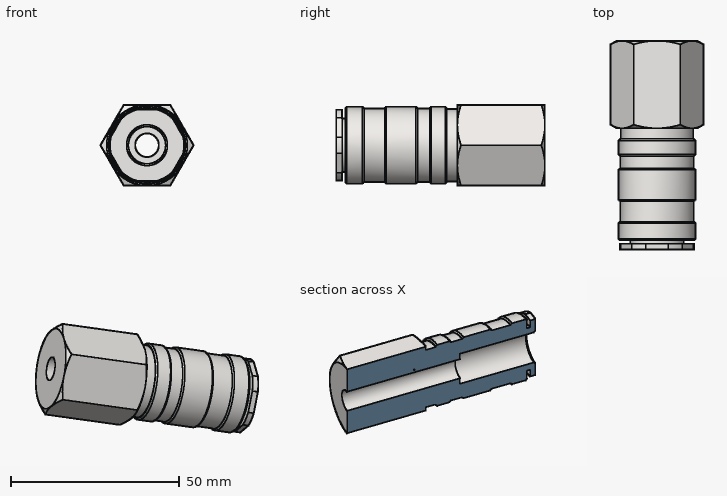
import cadquery as cq
import math

total_length = 62.0

hex_across_flats = 24.0
hex_start = 36.0
hex_chamfer_angle = math.radians(30)

sleeve_start = 2.7
sleeve_radius = 11.0
shank_radius = 10.8
collar_radius = 11.5
collar_chamfer = 0.5
collar_spans = [(sleeve_start, 8.3), (14.4, 24.2), (27.8, 32.85)]
sleeve_end = collar_spans[-1][1] - collar_chamfer

flange_thickness = 1.8
flange_radius = 11.05
flange_across_flats = 21.1
neck_radius = 8.0

socket_radius = 5.5
socket_depth = 24.8
socket_chamfer = 0.55
passage_radius = 3.5


def cylinder(radius, start, end):
    """Cylinder on the Y axis between two Y positions."""
    return cq.Workplane("XZ", origin=(0, start, 0)).circle(radius).extrude(start - end)


def hexagon(across_flats, start, end):
    """Hexagonal prism along Y with corners on the X axis."""
    across_corners = across_flats / math.cos(math.radians(30))
    return cq.Workplane("XZ", origin=(0, start, 0)).polygon(6, across_corners).extrude(start - end)


def hex_body():
    """Hexagon with its corners turned off conically at both ends."""
    corner_radius = hex_across_flats / 2 / math.cos(math.radians(30))
    face_radius = hex_across_flats / 2
    chamfer_length = (corner_radius - face_radius) * math.tan(hex_chamfer_angle)
    envelope = (
        cq.Workplane("XY")
        .moveTo(0, hex_start)
        .lineTo(face_radius, hex_start)
        .lineTo(corner_radius, hex_start + chamfer_length)
        .lineTo(corner_radius, total_length - chamfer_length)
        .lineTo(face_radius, total_length)
        .lineTo(0, total_length)
        .close()
        .revolve(360, (0, 0, 0), (0, 1, 0))
    )
    return hexagon(hex_across_flats, hex_start, total_length).intersect(envelope)


def sleeve():
    """Stepped sleeve with chamfered collars."""
    body = cylinder(shank_radius, sleeve_end, hex_start)
    body = body.union(cylinder(sleeve_radius, sleeve_start + collar_chamfer, sleeve_end))
    for start, end in collar_spans:
        body = body.union(cylinder(collar_radius, start, end).edges("%CIRCLE").chamfer(collar_chamfer))
    return body


def mouth_flange():
    """Round flange with six flats, standing off the sleeve on a neck."""
    flange = cylinder(flange_radius, 0, flange_thickness)
    flange = flange.intersect(hexagon(flange_across_flats, 0, flange_thickness))
    return flange.union(cylinder(neck_radius, flange_thickness, sleeve_start))


def bore():
    """Socket with a chamfered mouth, followed by the through passage."""
    mouth = (
        cq.Workplane("XY")
        .polyline([
            (0, 0),
            (socket_radius + socket_chamfer, 0),
            (socket_radius, socket_chamfer),
            (0, socket_chamfer),
        ])
        .close()
        .revolve(360, (0, 0, 0), (0, 1, 0))
    )
    socket = cylinder(socket_radius, 0, socket_depth).union(mouth)
    return socket.union(cylinder(passage_radius, 0, total_length))


result = hex_body().union(sleeve()).union(mouth_flange()).cut(bore())